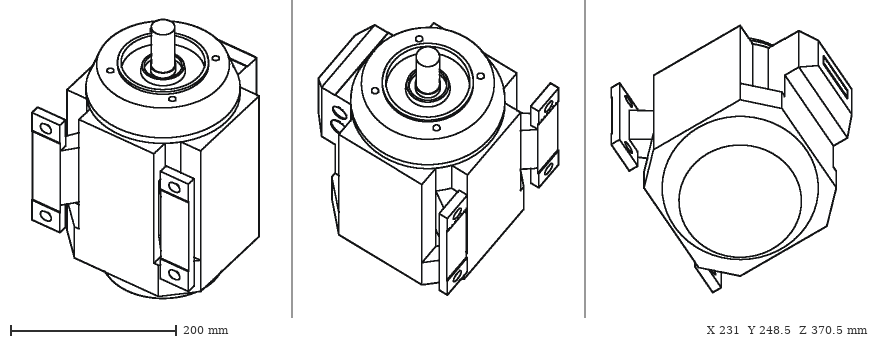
import cadquery as cq

EMBED = 3.7

FRAME_BOTTOM = 40.0
NOTCH_BOTTOM = 90.0
FRAME_TOP = 265.3
SHIELD_RIM_TOP = 274.0
SHIELD_TOP = 311.0
SPIGOT_TOP = 314.5
SHAFT_TOP = 370.5

FRAME_HALF = 98.5
FRAME_CHAMFER = 36.5
SIDE_PANEL_HALF = FRAME_HALF - FRAME_CHAMFER
FACE_PANEL_HALF = 55.2
CORE_RADIUS = 93.0

COVER_BOTTOM_RADIUS = 74.0
COVER_TOP_RADIUS = 94.5

SHIELD_RIM_RADIUS = 93.5
SHIELD_TOP_RADIUS = 80.5
SPIGOT_RADIUS = 55.2
RECESS_RADIUS = 50.8
RECESS_FLOOR = 300.0
SHAFT_DIAMETER = 28.5
SHAFT_RADIUS = SHAFT_DIAMETER / 2
COLLAR_RADIUS = 15.2
COLLAR_TOP = 310.0
SEAL_BASE_RADIUS = 27.0
SEAL_TOP_RADIUS = 25.5
SEAL_INNER_RADIUS = 23.0
SEAL_TOP = 308.5
SEAL_FLOOR = 302.0
FLANGE_HOLE_DIAMETER = 8.5
FLANGE_HOLE_PITCH = 91.5
FLANGE_HOLE_DEPTH = 18.5

BOX_WIDTH = 2 * FACE_PANEL_HALF
BOX_CENTER_Z = 209.0
BOX_EDGE_Y = 118.5
BOX_FACE_Y = 135.5
BOX_TAPER = BOX_FACE_Y - BOX_EDGE_Y
LABEL_WIDTH = 54.5
LABEL_HEIGHT = 22.0
LABEL_THICKNESS = 1.0
KNOCKOUT_Y = 92.0
KNOCKOUT_DEPTH = 1.5
KNOCKOUTS = ((196.7, 13.0), (231.0, 10.5))

FEET_SPAN = 231.0
FOOT_OUTER_X = FEET_SPAN / 2
FOOT_INNER_X = 74.0
FOOT_SOLE_Y = -112.0
FOOT_TOP_Y = -99.5
FOOT_BOTTOM_Z = 84.0
FOOT_TOP_Z = 256.0
PAD_BOTTOM_Z = 116.0
PAD_TOP_Z = 226.5
RELIEF_DEPTH = 1.3
SLOT_LENGTH = 16.0
SLOT_WIDTH = 13.5
SLOT_HEIGHTS = (100.5, 240.5)
LEG_BOTTOM_Z = 127.0
LEG_TOP_Z = 214.0
LEG_OUTER_X = 94.0
LEG_ROOT_X = 69.5
LEG_INNER_ROOT_Y = -88.0


def box_between(x0, x1, y0, y1, z0, z1):
    """Axis-aligned block given by its limits."""
    return cq.Workplane("XY").box(x1 - x0, y1 - y0, z1 - z0, centered=False).translate((x0, y0, z0))


def make_frame():
    """Octagonal base carrying a round core and four flat panels with open corners between them."""
    base = (
        cq.Workplane("XY", origin=(0, 0, FRAME_BOTTOM))
        .rect(2 * FRAME_HALF, 2 * FRAME_HALF)
        .extrude(NOTCH_BOTTOM - FRAME_BOTTOM)
        .edges("|Z")
        .chamfer(FRAME_CHAMFER)
    )
    upper = cq.Workplane("XY", origin=(0, 0, NOTCH_BOTTOM))
    height = FRAME_TOP - NOTCH_BOTTOM
    side_panels = upper.rect(2 * FRAME_HALF, 2 * SIDE_PANEL_HALF).extrude(height)
    face_panels = upper.rect(2 * FACE_PANEL_HALF, 2 * FRAME_HALF).extrude(height)
    core = upper.circle(CORE_RADIUS).extrude(height)
    return base.union(side_panels).union(face_panels).union(core)


def make_turned_parts():
    """Fan cover, drive-end shield with recess and seal ring, and shaft, as one revolved profile."""
    profile = [
        (0, 0),
        (COVER_BOTTOM_RADIUS, 0),
        (COVER_TOP_RADIUS, FRAME_BOTTOM),
        (CORE_RADIUS, FRAME_BOTTOM),
        (CORE_RADIUS, FRAME_TOP),
        (SHIELD_RIM_RADIUS, FRAME_TOP),
        (SHIELD_RIM_RADIUS, SHIELD_RIM_TOP),
        (SHIELD_TOP_RADIUS, SHIELD_TOP),
        (SPIGOT_RADIUS, SHIELD_TOP),
        (SPIGOT_RADIUS, SPIGOT_TOP),
        (RECESS_RADIUS, SPIGOT_TOP),
        (RECESS_RADIUS, RECESS_FLOOR),
        (SEAL_BASE_RADIUS, RECESS_FLOOR),
        (SEAL_TOP_RADIUS, SEAL_TOP),
        (SEAL_INNER_RADIUS, SEAL_TOP),
        (SEAL_INNER_RADIUS, SEAL_FLOOR),
        (COLLAR_RADIUS, SEAL_FLOOR),
        (COLLAR_RADIUS, COLLAR_TOP),
        (SHAFT_RADIUS, COLLAR_TOP),
        (SHAFT_RADIUS, SHAFT_TOP),
        (0, SHAFT_TOP),
    ]
    return cq.Workplane("XZ").polyline(profile).close().revolve(360, (0, 0), (0, 1))


def make_flange_holes():
    """Four blind fixing holes in the shield face."""
    return (
        cq.Workplane("XY", origin=(0, 0, SHIELD_TOP))
        .rect(FLANGE_HOLE_PITCH, FLANGE_HOLE_PITCH, forConstruction=True)
        .vertices()
        .circle(FLANGE_HOLE_DIAMETER / 2)
        .extrude(-FLANGE_HOLE_DEPTH)
    )


def make_terminal_box():
    """Square box with a bevelled lid and a thin label plate."""
    start_y = FRAME_HALF - EMBED
    back_plane = cq.Workplane("XZ", origin=(0, start_y, BOX_CENTER_Z))
    body = (
        back_plane.rect(BOX_WIDTH, BOX_WIDTH)
        .extrude(-(BOX_FACE_Y - start_y))
        .faces(">Y")
        .chamfer(BOX_TAPER)
    )
    label_depth = BOX_FACE_Y + LABEL_THICKNESS - start_y
    label = back_plane.rect(LABEL_WIDTH, LABEL_HEIGHT).extrude(-label_depth)
    return body.union(label)


def make_foot():
    """Foot on the +X side: slotted plate, relieved between its end pads, and a slanted leg."""
    relief_y = FOOT_SOLE_Y + RELIEF_DEPTH
    plate = box_between(
        FOOT_INNER_X, FOOT_OUTER_X, FOOT_SOLE_Y, FOOT_TOP_Y, FOOT_BOTTOM_Z, FOOT_TOP_Z
    )
    relief = box_between(
        FOOT_INNER_X, FOOT_OUTER_X, FOOT_SOLE_Y, relief_y, PAD_BOTTOM_Z, PAD_TOP_Z
    )
    slot_x = (FOOT_INNER_X + FOOT_OUTER_X) / 2
    slots = (
        cq.Workplane("XZ", origin=(0, FOOT_TOP_Y, 0))
        .pushPoints([(slot_x, z) for z in SLOT_HEIGHTS])
        .slot2D(SLOT_LENGTH, SLOT_WIDTH)
        .extrude(FOOT_TOP_Y - FOOT_SOLE_Y)
    )
    leg_profile = [
        (FOOT_INNER_X, relief_y),
        (FOOT_INNER_X, FOOT_TOP_Y - EMBED),
        (LEG_OUTER_X, FOOT_TOP_Y - EMBED),
        (LEG_OUTER_X, FOOT_TOP_Y),
        (LEG_ROOT_X, -SIDE_PANEL_HALF),
        (FACE_PANEL_HALF - EMBED, -SIDE_PANEL_HALF),
        (FACE_PANEL_HALF - EMBED, LEG_INNER_ROOT_Y),
        (FACE_PANEL_HALF, LEG_INNER_ROOT_Y),
    ]
    leg = (
        cq.Workplane("XY", origin=(0, 0, LEG_BOTTOM_Z))
        .polyline(leg_profile)
        .close()
        .extrude(LEG_TOP_Z - LEG_BOTTOM_Z)
    )
    return plate.cut(relief).cut(slots).union(leg)


def make_knockouts():
    """Two shallow round cable-entry recesses in the -X side of the terminal box."""
    start = cq.Workplane("YZ", origin=(-FACE_PANEL_HALF, 0, 0))
    cutter = cq.Workplane("YZ")
    for height, radius in KNOCKOUTS:
        cutter = cutter.add(start.center(KNOCKOUT_Y, height).circle(radius).extrude(KNOCKOUT_DEPTH))
    return cutter.combine()


right_foot = make_foot()
left_foot = right_foot.mirror("YZ")

result = (
    make_frame()
    .union(make_turned_parts())
    .cut(make_flange_holes())
    .union(make_terminal_box())
    .cut(make_knockouts())
    .union(right_foot)
    .union(left_foot)
)